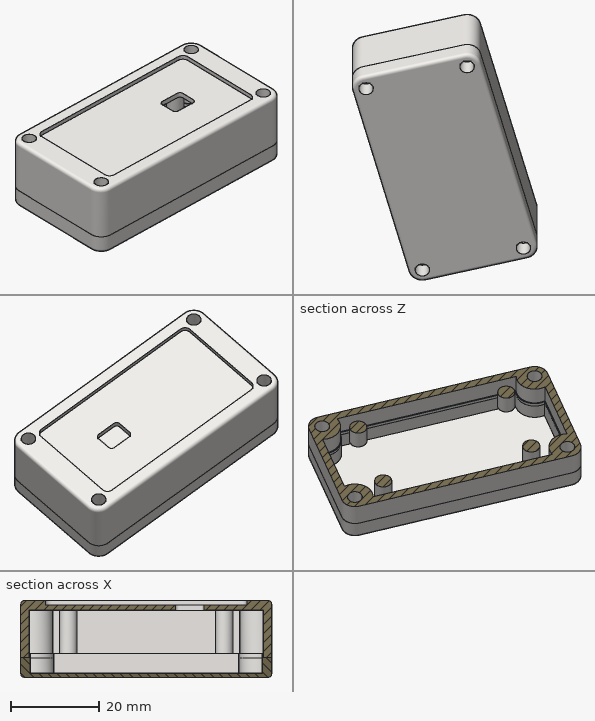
import cadquery as cq

LENGTH = 56.9
WIDTH = 29.85
HEIGHT = 17.45
BASE_HEIGHT = 4.45
CORNER_RADIUS = 3.15
EDGE_FILLET = 0.85
WALL = 2.0
FLOOR = 1.0

LIP_HEIGHT = 1.0
LIP_THICKNESS = 0.2

SCREW_X = WIDTH / 2 - CORNER_RADIUS
SCREW_Y = LENGTH / 2 - CORNER_RADIUS
SCREW_HOLE_DIAMETER = 3.25
SCREW_BOSS_RADIUS = 4.2

RECESS_LENGTH = 45.55
RECESS_WIDTH = 2 * SCREW_X
RECESS_CORNER_RADIUS = 1.5
RECESS_DEPTH = 1.0

WINDOW_WIDTH = 5.2
WINDOW_LENGTH = 6.45
WINDOW_CORNER_RADIUS = 0.9
WINDOW_Y = 9.85
ROOF_THICKNESS = 1.25

STANDOFF_DIAMETER = 4.0
STANDOFF_X = 9.0
STANDOFF_Y = 17.65

LIP_TOP_Z = BASE_HEIGHT + LIP_HEIGHT
CEILING_Z = HEIGHT - RECESS_DEPTH - ROOF_THICKNESS


def mirrored_points(x, y):
    return [(sign_x * x, sign_y * y) for sign_x in (-1, 1) for sign_y in (-1, 1)]


def rounded_block(width, length, corner_radius, z_bottom, z_top):
    block = cq.Workplane("XY", origin=(0, 0, z_bottom)).rect(width, length).extrude(z_top - z_bottom)
    return block.edges("|Z").fillet(corner_radius)


def cylinders(points, diameter, z_bottom, z_top):
    circles = cq.Workplane("XY", origin=(0, 0, z_bottom)).pushPoints(points).circle(diameter / 2)
    return circles.extrude(z_top - z_bottom)


def cavity(inset, z_bottom, z_top):
    """Interior space inside the walls and around the screw bosses, shrunk all round by the inset."""
    wall = WALL + inset
    space = cq.Workplane("XY", origin=(0, 0, z_bottom)).rect(WIDTH - 2 * wall, LENGTH - 2 * wall)
    space = space.extrude(z_top - z_bottom)
    boss_diameter = 2 * (SCREW_BOSS_RADIUS + inset)
    return space.cut(cylinders(mirrored_points(SCREW_X, SCREW_Y), boss_diameter, z_bottom, z_top))


def screw_holes():
    return cylinders(mirrored_points(SCREW_X, SCREW_Y), SCREW_HOLE_DIAMETER, 0, HEIGHT)


def make_housing():
    body = rounded_block(WIDTH, LENGTH, CORNER_RADIUS, BASE_HEIGHT, HEIGHT)
    body = body.faces(">Z").edges().fillet(EDGE_FILLET)
    body = body.cut(cavity(0, BASE_HEIGHT, CEILING_Z))
    body = body.union(
        cylinders(mirrored_points(STANDOFF_X, STANDOFF_Y), STANDOFF_DIAMETER, LIP_TOP_Z, CEILING_Z)
    )
    recess = rounded_block(RECESS_WIDTH, RECESS_LENGTH, RECESS_CORNER_RADIUS, HEIGHT - RECESS_DEPTH, HEIGHT)
    window = rounded_block(WINDOW_WIDTH, WINDOW_LENGTH, WINDOW_CORNER_RADIUS, CEILING_Z, HEIGHT)
    return body.cut(recess).cut(window.translate((0, WINDOW_Y, 0))).cut(screw_holes())


def make_base():
    body = rounded_block(WIDTH, LENGTH, CORNER_RADIUS, 0, BASE_HEIGHT)
    body = body.faces("<Z").edges().fillet(EDGE_FILLET)
    body = body.union(cavity(0, BASE_HEIGHT, LIP_TOP_Z))
    body = body.cut(cavity(LIP_THICKNESS, FLOOR, LIP_TOP_Z))
    return body.cut(screw_holes())


housing = make_housing()
base = make_base()

result = cq.Compound.makeCompound([housing.val(), base.val()])